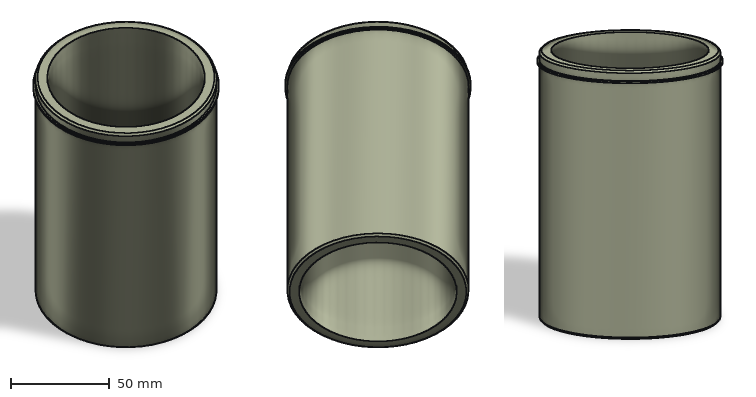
import cadquery as cq

sleeve_length = 140.0
sleeve_diameter = 92.0
bore_diameter = 80.0
end_chamfer = 1.1

ring_diameter = 94.4
ring_thickness = 1.0
ring_top_depth = 5.2


def make_tube(outer_diameter, inner_diameter, length, bottom_z):
    """Tube centred on the Z axis, starting at bottom_z."""
    return (
        cq.Workplane("XY", origin=(0, 0, bottom_z))
        .circle(outer_diameter / 2)
        .circle(inner_diameter / 2)
        .extrude(length)
    )


def make_sleeve():
    """Through-bored tube with the outer edge of both ends chamfered."""
    tube = make_tube(sleeve_diameter, bore_diameter, sleeve_length, 0)
    outer_rims = cq.selectors.RadiusNthSelector(-1)
    return tube.edges("%CIRCLE").edges(outer_rims).chamfer(end_chamfer)


def make_collar_ring():
    """Flat ring seated on the outer face of the sleeve near its top end."""
    bottom_z = sleeve_length - ring_top_depth - ring_thickness
    return make_tube(ring_diameter, sleeve_diameter, ring_thickness, bottom_z)


sleeve = make_sleeve()
collar_ring = make_collar_ring()

result = cq.Compound.makeCompound([sleeve.val(), collar_ring.val()])